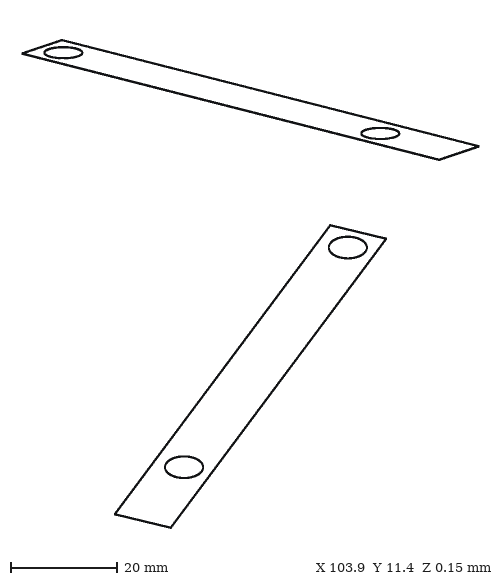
import cadquery as cq

length = 103.9
width = 11.4
thickness = 0.15

hole_diameter = 7.2
end_to_first_hole = 5.5
hole_spacing = 79.0
front_edge_to_holes = 5.5

first_hole_x = -length / 2 + end_to_first_hole
hole_y = -width / 2 + front_edge_to_holes
hole_centres = [(first_hole_x, hole_y), (first_hole_x + hole_spacing, hole_y)]

strip = cq.Workplane("XY").rect(length, width).extrude(thickness)
holes = cq.Workplane("XY").pushPoints(hole_centres).circle(hole_diameter / 2).extrude(thickness)

result = strip.cut(holes)